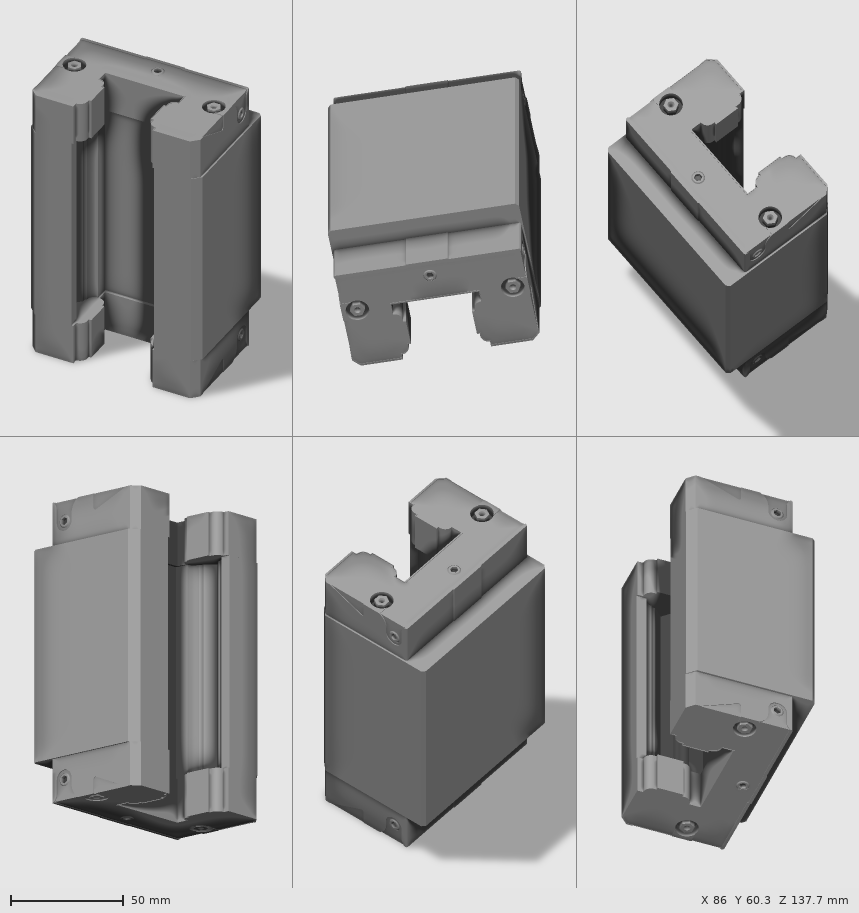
import cadquery as cq
import math


TOTAL_LENGTH = 137.7
BLOCK_LENGTH = 97.5
BLOCK_WIDTH = 86.0
BLOCK_HEIGHT = 60.3
BLOCK_BACK_CHAMFER = 1.5
BLOCK_FOOT_CHAMFER = 3.9

CHANNEL_HALF = 20.7
CHANNEL_ROOF = 31.7
GROOVES_CENTRE_Y = 14.9
GROOVES_HALF_SPAN = 10.0
BALL_RADIUS = 3.6
GROOVE_FLAT = 1.0
RELIEF_HALF = 4.3

PLUG_STANDOUT = 0.07
CAP_END = TOTAL_LENGTH / 2 - PLUG_STANDOUT
CAP_HALF = 42.1
CAP_HEIGHT = 49.8
CAP_BACK_CHAMFER = 0.5
CAP_FOOT_CHAMFER = 3.5
RIDGE_HALF = 9.4
RIDGE_RISE = 0.4

SEAL_HALF = 19.8
SEAL_ROOF = 30.2
SEAL_FOOT = 2.8
SEAL_HEAD = 24.8
SEAL_ROUND = 3.7
SEAL_TIP_FOOT = 7.7
SEAL_TIP_HEAD = 20.1
SEAL_TIP_HALF = 14.9

FACE_DEPTH = 0.3
SIDE_RIM = 0.4
BACK_RIM = 1.5
FOOT_RIM = 1.0
ROOF_RIM = 0.7
SEAL_RIM = 0.3

BOSS_X = 35.0
BOSS_Y = 29.6
BOSS_ACROSS_CORNERS = 6.7
WELL_RADIUS = 5.2
WELL_DEPTH = 4.8
DIMPLE_RADIUS = 1.5
DIMPLE_DEPTH = 2.2
PAD_FOOT = 25.0
PAD_HEAD = 34.3

PLUG_Y = 42.4
PLUG_RADIUS = 3.0
PLUG_LENGTH = 5.5
PLUG_CHAMFER = 0.5
SOCKET_ACROSS_CORNERS = 3.7
SOCKET_DEPTH = 2.0
SIDE_PLUG_Z = 59.2

PLUG_RECESS_DEPTH = SIDE_RIM
PLUG_RECESS_RADIUS = 4.4
BACK_FLARE_WIDTH = 1.8
BACK_FLARE_LENGTH = 3.9
FRONT_FLARE_WIDTH = 4.0
FRONT_FLARE_LENGTH = 6.6
WEDGE_DEPTH = 0.3
WEDGE_START = 60.7
WEDGE_TIP_Y = 5.8
WEDGE_ROUND = 1.1

SIDES = (-1, 1)
MIRROR_PLANE = "YZ"


def prism_between(half_outline, z_start, z_end):
    """Extrude the X >= 0 half of an outline and join it to its mirror image."""
    half = half_outline.close().extrude(z_end - z_start).translate((0, 0, z_start))
    return half.union(half.mirror(MIRROR_PLANE)).clean()


def make_block():
    half_width = BLOCK_WIDTH / 2
    half_outline = (
        cq.Workplane("XY")
        .moveTo(0, BLOCK_HEIGHT)
        .lineTo(half_width - BLOCK_BACK_CHAMFER, BLOCK_HEIGHT)
        .lineTo(half_width, BLOCK_HEIGHT - BLOCK_BACK_CHAMFER)
        .lineTo(half_width, BLOCK_FOOT_CHAMFER)
        .lineTo(half_width - BLOCK_FOOT_CHAMFER, 0)
        .lineTo(CHANNEL_HALF, 0)
        .lineTo(CHANNEL_HALF, CHANNEL_ROOF)
        .lineTo(0, CHANNEL_ROOF)
    )
    block = prism_between(half_outline, -BLOCK_LENGTH / 2, BLOCK_LENGTH / 2)
    grooves = make_ball_grooves()
    return block.cut(grooves).cut(grooves.mirror(MIRROR_PLANE))


def make_ball_grooves():
    """Two ball grooves in the +X channel wall, with a 45 degree V relief between them."""
    arc_x = CHANNEL_HALF + BALL_RADIUS
    arc_rise = GROOVES_HALF_SPAN - BALL_RADIUS
    bow = BALL_RADIUS * math.sin(math.pi / 4)
    bow_x = CHANNEL_HALF + bow
    bow_rise = arc_rise + bow
    deepest_x = arc_x + GROOVE_FLAT
    deepest_rise = arc_rise - GROOVE_FLAT
    relief_x = deepest_x + RELIEF_HALF
    middle = GROOVES_CENTRE_Y
    return (
        cq.Workplane("XY", origin=(0, 0, -BLOCK_LENGTH / 2))
        .moveTo(CHANNEL_HALF, middle - GROOVES_HALF_SPAN)
        .threePointArc((bow_x, middle - bow_rise), (arc_x, middle - arc_rise))
        .lineTo(deepest_x, middle - deepest_rise)
        .lineTo(deepest_x, middle - RELIEF_HALF)
        .lineTo(relief_x, middle)
        .lineTo(deepest_x, middle + RELIEF_HALF)
        .lineTo(deepest_x, middle + deepest_rise)
        .lineTo(arc_x, middle + arc_rise)
        .threePointArc((bow_x, middle + bow_rise), (CHANNEL_HALF, middle + GROOVES_HALF_SPAN))
        .close()
        .extrude(BLOCK_LENGTH)
    )


def cap_half_outline(side_rim=0, back_rim=0, foot_rim=0, roof_rim=0, seal_rim=0):
    """Half outline of a cap, drawn in from its edges by the given rim widths."""
    half_width = CAP_HALF - side_rim
    back = CAP_HEIGHT - back_rim
    ridge_half = RIDGE_HALF - side_rim
    roof = SEAL_ROOF + roof_rim
    wall = SEAL_HALF + seal_rim
    tip = SEAL_TIP_HALF + seal_rim
    tip_foot = SEAL_TIP_FOOT + seal_rim
    tip_head = SEAL_TIP_HEAD - seal_rim
    shoulder = wall - SEAL_ROUND
    foot = SEAL_FOOT + seal_rim
    head = SEAL_HEAD - seal_rim
    bow = SEAL_ROUND * math.sin(math.pi / 4)
    lower_bow = (wall - bow, foot + SEAL_ROUND - bow)
    upper_bow = (wall - bow, head - SEAL_ROUND + bow)
    return (
        cq.Workplane("XY")
        .moveTo(0, back + RIDGE_RISE)
        .lineTo(ridge_half, back + RIDGE_RISE)
        .lineTo(ridge_half + RIDGE_RISE, back)
        .lineTo(half_width - CAP_BACK_CHAMFER, back)
        .lineTo(half_width, back - CAP_BACK_CHAMFER)
        .lineTo(half_width, CAP_FOOT_CHAMFER + side_rim)
        .lineTo(half_width - CAP_FOOT_CHAMFER + foot_rim - side_rim, foot_rim)
        .lineTo(wall, foot_rim)
        .lineTo(wall, foot)
        .threePointArc(lower_bow, (shoulder, foot + SEAL_ROUND))
        .lineTo(shoulder, tip_foot)
        .lineTo(tip, tip_foot)
        .lineTo(tip, tip_head)
        .lineTo(shoulder, tip_head)
        .lineTo(shoulder, head - SEAL_ROUND)
        .threePointArc(upper_bow, (wall, head))
        .lineTo(wall, roof)
        .lineTo(0, roof)
    )


def make_sunken_face():
    """Material removed from the end of a cap: all within the rim except the two boss pads."""
    floor = CAP_END - FACE_DEPTH
    rims = cap_half_outline(SIDE_RIM, BACK_RIM, FOOT_RIM, ROOF_RIM, SEAL_RIM)
    face = prism_between(rims, floor, CAP_END)
    for side in SIDES:
        pad = (
            cq.Workplane("XY", origin=(0, 0, floor))
            .center(side * (BOSS_X + CAP_HALF) / 2, (PAD_FOOT + PAD_HEAD) / 2)
            .rect(CAP_HALF - BOSS_X, PAD_HEAD - PAD_FOOT)
            .extrude(FACE_DEPTH)
        )
        face = face.cut(pad)
    return face


def make_boss_well(side):
    """Round well around a hexagonal boss that is dimpled by a cone."""
    floor = CAP_END - FACE_DEPTH - WELL_DEPTH
    at_boss = cq.Workplane("XY", origin=(side * BOSS_X, BOSS_Y, floor))
    well = at_boss.circle(WELL_RADIUS).extrude(WELL_DEPTH + FACE_DEPTH)
    boss = at_boss.polygon(6, BOSS_ACROSS_CORNERS).extrude(WELL_DEPTH)
    dimple = cq.Workplane(
        cq.Solid.makeCone(
            0,
            DIMPLE_RADIUS,
            DIMPLE_DEPTH,
            pnt=cq.Vector(side * BOSS_X, BOSS_Y, floor + WELL_DEPTH - DIMPLE_DEPTH),
        )
    )
    return well.cut(boss.cut(dimple))


def side_pocket(outline, side, depth):
    """Extrude a (Y, Z) outline inward from one side of the cap."""
    pocket = outline.close().extrude(depth)
    start = CAP_HALF - depth if side > 0 else -CAP_HALF
    return pocket.translate((start, 0, 0))


def flare_middle(front):
    """Middle of the front flare, an arc that leaves the straight wall of the recess tangentially."""
    radius = (FRONT_FLARE_WIDTH**2 + FRONT_FLARE_LENGTH**2) / (2 * FRONT_FLARE_WIDTH)
    half_angle = math.asin(FRONT_FLARE_LENGTH / radius) / 2
    y = front - radius * (1 - math.cos(half_angle))
    z = CAP_END - FRONT_FLARE_LENGTH + radius * math.sin(half_angle)
    return (y, z)


def make_plug_recess(side):
    """Round-bottomed recess around a side plug that flares out toward the end of the cap."""
    back = PLUG_Y + PLUG_RECESS_RADIUS
    front = PLUG_Y - PLUG_RECESS_RADIUS
    outline = (
        cq.Workplane("YZ")
        .moveTo(front, SIDE_PLUG_Z)
        .threePointArc((PLUG_Y, SIDE_PLUG_Z - PLUG_RECESS_RADIUS), (back, SIDE_PLUG_Z))
        .lineTo(back, CAP_END - BACK_FLARE_LENGTH)
        .tangentArcPoint((back + BACK_FLARE_WIDTH, CAP_END), relative=False)
        .lineTo(front - FRONT_FLARE_WIDTH, CAP_END)
        .threePointArc(flare_middle(front), (front, CAP_END - FRONT_FLARE_LENGTH))
    )
    return side_pocket(outline, side, PLUG_RECESS_DEPTH)


def make_wedge_recess(side):
    """Triangular recess in the cap side, rounded at its deep corner."""
    outline = (
        cq.Workplane("YZ")
        .moveTo(PAD_FOOT, CAP_END)
        .lineTo(PAD_FOOT, WEDGE_START)
        .lineTo(WEDGE_TIP_Y, CAP_END)
    )
    pocket = side_pocket(outline, side, WEDGE_DEPTH)
    deep_corner = cq.selectors.NearestToPointSelector((side * CAP_HALF, PAD_FOOT, WEDGE_START))
    return pocket.edges("|X").edges(deep_corner).fillet(WEDGE_ROUND)


def plug_seats():
    """Centre of the outer face and outward direction of each plug of the upper cap."""
    seats = [((0, PLUG_Y, TOTAL_LENGTH / 2), (0, 0, 1))]
    for side in SIDES:
        seats.append(((side * CAP_HALF, PLUG_Y, SIDE_PLUG_Z), (side, 0, 0)))
    return seats


def plug_plane(face_centre, outward):
    """Plane of a plug's outer face, with its second axis along Y."""
    across = cq.Vector(0, 1, 0).cross(cq.Vector(outward))
    return cq.Plane(origin=face_centre, xDir=across, normal=outward)


def make_plug(face_centre, outward):
    """Chamfered round plug with a hexagonal socket in its outer face."""
    outer_face = plug_plane(face_centre, outward)
    plug = cq.Workplane(outer_face).circle(PLUG_RADIUS).extrude(-PLUG_LENGTH)
    plug = plug.faces(cq.selectors.DirectionMinMaxSelector(cq.Vector(outward))).chamfer(PLUG_CHAMFER)
    socket = cq.Workplane(outer_face).polygon(6, SOCKET_ACROSS_CORNERS).extrude(-SOCKET_DEPTH)
    return plug.cut(socket)


def make_plug_hole(face_centre, outward):
    """Plain round hole that a plug fills."""
    return cq.Workplane(plug_plane(face_centre, outward)).circle(PLUG_RADIUS).extrude(-PLUG_LENGTH)


def make_cap():
    """End cap on the +Z end of the block."""
    cap = prism_between(cap_half_outline(), BLOCK_LENGTH / 2, CAP_END)
    cap = cap.cut(make_sunken_face())
    for side in SIDES:
        cap = cap.cut(make_boss_well(side))
        cap = cap.cut(make_plug_recess(side))
        cap = cap.cut(make_wedge_recess(side))
    for face_centre, outward in plug_seats():
        cap = cap.cut(make_plug_hole(face_centre, outward))
    return cap


block = make_block()
upper_cap = make_cap()
upper_plugs = [make_plug(face_centre, outward) for face_centre, outward in plug_seats()]

caps = [upper_cap, upper_cap.mirror("XY")]
plugs = upper_plugs + [plug.mirror("XY") for plug in upper_plugs]

result = cq.Compound.makeCompound([body.val() for body in [block, *caps, *plugs]])